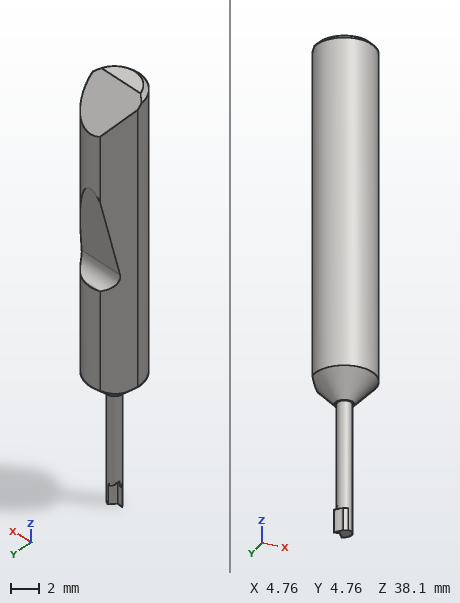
import cadquery as cq
import math

length = 38.1
shank_radius = 2.38
neck_radius = 0.57

cone_top = 12.0
cone_bottom = 10.2
cone_end_radius = 0.7
end_chamfer = 0.4
bevel_drop = 3.0

flat_angle = 143.5
flat_distance = 2.0

notch_top = 30.1
notch_floor = 21.1
notch_depth = 1.5
notch_radius = 1.15

tip_height = 1.8
tip_reach = 0.78
rake_level = 0.05
end_relief = 0.1
relief_mid = (-0.57, -0.248)
heel_start_x = -0.3
heel_end_x = 0.057

pocket_height = 2.17
pocket_corner_y = 0.25
pocket_wall_x = -0.35

oversize = 4 * shank_radius


def on_neck(x, side):
    """Point on the neck circle at x, on the +Y (1) or -Y (-1) side."""
    return (x, side * math.sqrt(neck_radius**2 - x**2))


def extrude_along_x(outline):
    """Cutter with a YZ outline, reaching across the whole shank."""
    return outline.close().extrude(shank_radius * 2, both=True)


def make_round_body():
    """Shank, cone and neck, turned about Z."""
    return (
        cq.Workplane("XZ")
        .moveTo(0, 0)
        .lineTo(neck_radius, 0)
        .lineTo(neck_radius, cone_bottom)
        .lineTo(cone_end_radius, cone_bottom)
        .lineTo(shank_radius, cone_top)
        .lineTo(shank_radius, length - end_chamfer)
        .lineTo(shank_radius - end_chamfer, length)
        .lineTo(0, length)
        .close()
        .revolve(360, (0, 0, 0), (0, 1, 0))
    )


def make_side_flat():
    """Material outside the long flat, from the cone upward."""
    return (
        cq.Workplane("XY")
        .box(oversize, oversize, length, centered=(False, True, False))
        .translate((flat_distance, 0, cone_bottom))
        .rotate((0, 0, 0), (0, 0, 1), flat_angle)
    )


def make_end_bevel():
    """Material above the 45 degree bevel at the top."""
    return extrude_along_x(
        cq.Workplane("YZ")
        .moveTo(shank_radius, length - bevel_drop)
        .lineTo(shank_radius, length)
        .lineTo(shank_radius - bevel_drop, length)
    )


def make_clamping_notch():
    """Sloping notch with a rounded inner corner."""
    notch = extrude_along_x(
        cq.Workplane("YZ")
        .moveTo(shank_radius, notch_top)
        .lineTo(shank_radius - notch_depth, notch_floor)
        .lineTo(shank_radius, notch_floor)
    )
    return notch.edges("|X").edges("<Y").fillet(notch_radius)


def make_tooth():
    """Cutting tooth reaching out to -X, with a rounded relief below its edge."""
    return (
        cq.Workplane("XY")
        .moveTo(-tip_reach, rake_level)
        .threePointArc(relief_mid, on_neck(heel_start_x, -1))
        .lineTo(heel_end_x, rake_level)
        .close()
        .extrude(tip_height)
    )


def make_heel_flat():
    """Sliver outside the narrow flat that follows the relief."""
    start = on_neck(heel_start_x, -1)
    end = on_neck(heel_end_x, -1)
    return (
        cq.Workplane("XY")
        .moveTo(*start)
        .lineTo(*end)
        .lineTo(end[0], -tip_reach)
        .lineTo(start[0], -tip_reach)
        .close()
        .extrude(tip_height)
    )


def make_end_cut():
    """Wedge below the end face, which rises away from the cutting edge."""
    return (
        cq.Workplane("XZ")
        .moveTo(-tip_reach, 0)
        .lineTo(tip_reach, end_relief)
        .lineTo(tip_reach, 0)
        .close()
        .extrude(tip_reach, both=True)
    )


def make_chip_pocket():
    """Space above the rake face, with a wall parallel to the long flat."""
    slope_length = neck_radius - pocket_corner_y
    profile = extrude_along_x(
        cq.Workplane("YZ")
        .moveTo(rake_level, 0)
        .lineTo(rake_level, pocket_height)
        .lineTo(pocket_corner_y, pocket_height)
        .lineTo(neck_radius, pocket_height - slope_length)
        .lineTo(neck_radius, 0)
    )
    wall_shift = (neck_radius - rake_level) * math.tan(math.radians(180 - flat_angle))
    plan = (
        cq.Workplane("XY")
        .moveTo(-oversize, rake_level)
        .lineTo(pocket_wall_x, rake_level)
        .lineTo(pocket_wall_x + wall_shift, neck_radius)
        .lineTo(-oversize, neck_radius)
        .close()
        .extrude(pocket_height)
    )
    return profile.intersect(plan)


body = make_round_body().cut(make_side_flat()).cut(make_end_bevel()).cut(make_clamping_notch())
tip = body.cut(make_heel_flat()).union(make_tooth())
result = tip.cut(make_chip_pocket()).cut(make_end_cut())